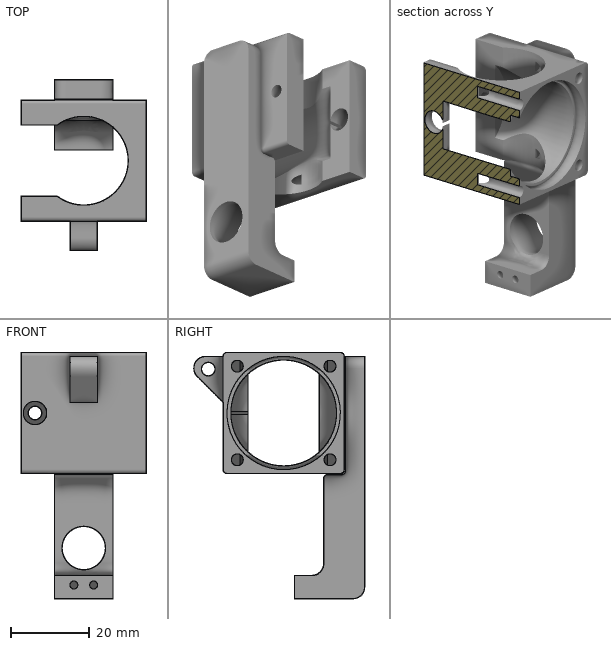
import cadquery as cq
import math


HOUSING_LENGTH_X = 32.0
HOUSING_DEPTH_Y = 31.0
HOUSING_HEIGHT_Z = 31.0
EDGE_RADIUS = 1.0
HOUSING_FRONT_Y = -HOUSING_DEPTH_Y / 2
HOUSING_BACK_Y = HOUSING_DEPTH_Y / 2
HOUSING_TOP_Z = HOUSING_HEIGHT_Z / 2
HOUSING_BOTTOM_Z = -HOUSING_HEIGHT_Z / 2

VERTICAL_BORE_DIAMETER = 22.7
SLOT_WIDTH = 18.15
CROSS_BORE_DIAMETER = 27.0
CROSS_BORE_WALL = 6.5
COUNTERBORE_DIAMETER = 29.0
COUNTERBORE_DEPTH = 3.0

CLAMP_HOLE_DIAMETER = 3.4
CLAMP_HEAD_DIAMETER = 6.0
CLAMP_EDGE_DISTANCE = 3.5

SCREW_HOLE_DIAMETER = 3.0
SCREW_HOLE_SPACING_Y = 23.7
SCREW_HOLE_SPACING_Z = 23.95
SCREW_HOLE_DEPTH = 14.0

LUG_WIDTH = 7.0
LUG_REACH = 7.5
LUG_TIP_RADIUS = 3.0
LUG_HOLE_DIAMETER = 3.4
LUG_HOLE_REACH = 3.8
LUG_HOLE_DROP = 3.3
TOP_SETBACK = 1.0

CLEARANCE = 0.25
OVERALL_HEIGHT = 63.0
ARM_WIDTH = 15.0
PLATE_THICKNESS = 5.0
STEM_THICKNESS = 10.5
FOOT_LENGTH = 18.0
FOOT_HEIGHT = 6.0
ARM_CORNER_RADIUS = 3.0
STEM_HOLE_DIAMETER = 11.0
STEM_HOLE_HEIGHT = 13.0
FOOT_HOLE_DIAMETER = 2.0
FOOT_HOLE_SPACING = 5.05
FOOT_HOLE_HEIGHT = 3.5
FOOT_HOLE_DEPTH = 10.1

ARM_TOP_Z = HOUSING_TOP_Z - TOP_SETBACK
ARM_BOTTOM_Z = HOUSING_TOP_Z - OVERALL_HEIGHT
PLATE_FRONT_Y = HOUSING_BACK_Y + CLEARANCE
ARM_BACK_Y = PLATE_FRONT_Y + PLATE_THICKNESS
STEM_FRONT_Y = ARM_BACK_Y - STEM_THICKNESS
FOOT_FRONT_Y = ARM_BACK_Y - FOOT_LENGTH
STEP_Z = HOUSING_BOTTOM_Z - CLEARANCE
FOOT_TOP_Z = ARM_BOTTOM_Z + FOOT_HEIGHT


def cylinder(diameter, length, start, direction):
    """Solid cylinder running from a start point along a direction."""
    return cq.Workplane(cq.Solid.makeCylinder(diameter / 2, length, cq.Vector(*start), cq.Vector(*direction)))


def make_lug():
    """Hinge lug with a flat top, a round tip and a 45 degree underside."""
    top_z = HOUSING_TOP_Z - TOP_SETBACK
    tip_y = HOUSING_FRONT_Y - LUG_REACH
    arc_y = tip_y + LUG_TIP_RADIUS
    arc_z = top_z - LUG_TIP_RADIUS
    diagonal = LUG_TIP_RADIUS * math.sqrt(0.5)
    tangent_y = arc_y - diagonal
    tangent_z = arc_z - diagonal
    root_z = tangent_z - (HOUSING_FRONT_Y - tangent_y)
    lug = (
        cq.Workplane("YZ")
        .moveTo(HOUSING_FRONT_Y, top_z)
        .lineTo(arc_y, top_z)
        .threePointArc((tip_y, arc_z), (tangent_y, tangent_z))
        .lineTo(HOUSING_FRONT_Y, root_z)
        .close()
        .extrude(LUG_WIDTH / 2, both=True)
    )
    hole_start = (-LUG_WIDTH / 2, HOUSING_FRONT_Y - LUG_HOLE_REACH, top_z - LUG_HOLE_DROP)
    return lug.cut(cylinder(LUG_HOLE_DIAMETER, LUG_WIDTH, hole_start, (1, 0, 0)))


def make_housing():
    left_x = -HOUSING_LENGTH_X / 2
    right_x = HOUSING_LENGTH_X / 2
    block = cq.Workplane().box(HOUSING_LENGTH_X, HOUSING_DEPTH_Y, HOUSING_HEIGHT_Z)
    body = block.edges("|X").fillet(EDGE_RADIUS)

    body = body.cut(cylinder(VERTICAL_BORE_DIAMETER, HOUSING_HEIGHT_Z, (0, 0, HOUSING_BOTTOM_Z), (0, 0, 1)))
    slot = cq.Workplane().box(-left_x, SLOT_WIDTH, HOUSING_HEIGHT_Z).translate((left_x / 2, 0, 0))
    body = body.cut(slot)

    cross_bore_length = HOUSING_LENGTH_X - CROSS_BORE_WALL
    body = body.cut(cylinder(CROSS_BORE_DIAMETER, cross_bore_length, (right_x, 0, 0), (-1, 0, 0)))
    body = body.cut(cylinder(COUNTERBORE_DIAMETER, COUNTERBORE_DEPTH, (right_x, 0, 0), (-1, 0, 0)))

    clamp_x = left_x + CLAMP_EDGE_DISTANCE
    body = body.cut(cylinder(CLAMP_HEAD_DIAMETER, HOUSING_BACK_Y, (clamp_x, HOUSING_FRONT_Y, 0), (0, 1, 0)))
    body = body.cut(cylinder(CLAMP_HOLE_DIAMETER, HOUSING_BACK_Y, (clamp_x, 0, 0), (0, 1, 0)))

    for side_y in (-1, 1):
        for side_z in (-1, 1):
            start = (right_x, side_y * SCREW_HOLE_SPACING_Y / 2, side_z * SCREW_HOLE_SPACING_Z / 2)
            body = body.cut(cylinder(SCREW_HOLE_DIAMETER, SCREW_HOLE_DEPTH, start, (-1, 0, 0)))

    return body.union(make_lug())


def edge_along_x(y, z):
    """Selector for the edges along X that lie at the given Y and Z."""
    reach = 0.05
    half_width = ARM_WIDTH / 2 + reach
    return cq.selectors.BoxSelector(
        (-half_width, y - reach, z - reach), (half_width, y + reach, z + reach), boundingbox=True
    )


def make_arm():
    outline = [
        (ARM_BACK_Y, ARM_TOP_Z),
        (PLATE_FRONT_Y, ARM_TOP_Z),
        (PLATE_FRONT_Y, STEP_Z),
        (STEM_FRONT_Y, STEP_Z),
        (STEM_FRONT_Y, FOOT_TOP_Z),
        (FOOT_FRONT_Y, FOOT_TOP_Z),
        (FOOT_FRONT_Y, ARM_BOTTOM_Z),
        (ARM_BACK_Y, ARM_BOTTOM_Z),
    ]
    arm = cq.Workplane("YZ").polyline(outline).close().extrude(ARM_WIDTH / 2, both=True)

    arm = arm.edges(edge_along_x(PLATE_FRONT_Y, STEP_Z)).fillet(EDGE_RADIUS)
    arm = arm.edges(edge_along_x(STEM_FRONT_Y, STEP_Z)).fillet(EDGE_RADIUS)
    arm = arm.edges(edge_along_x(ARM_BACK_Y, ARM_BOTTOM_Z)).fillet(ARM_CORNER_RADIUS)
    arm = arm.edges("|Y").edges(">Z").fillet(ARM_CORNER_RADIUS)

    hole_start = (0, STEM_FRONT_Y, ARM_BOTTOM_Z + STEM_HOLE_HEIGHT)
    arm = arm.cut(cylinder(STEM_HOLE_DIAMETER, STEM_THICKNESS, hole_start, (0, 1, 0)))
    arm = arm.edges(edge_along_x(STEM_FRONT_Y, FOOT_TOP_Z)).fillet(ARM_CORNER_RADIUS)

    for side_x in (-1, 1):
        start = (side_x * FOOT_HOLE_SPACING / 2, FOOT_FRONT_Y, ARM_BOTTOM_Z + FOOT_HOLE_HEIGHT)
        arm = arm.cut(cylinder(FOOT_HOLE_DIAMETER, FOOT_HOLE_DEPTH, start, (0, 1, 0)))
    return arm


housing = make_housing()
arm = make_arm()
result = cq.Compound.makeCompound([housing.solids().val(), arm.solids().val()])